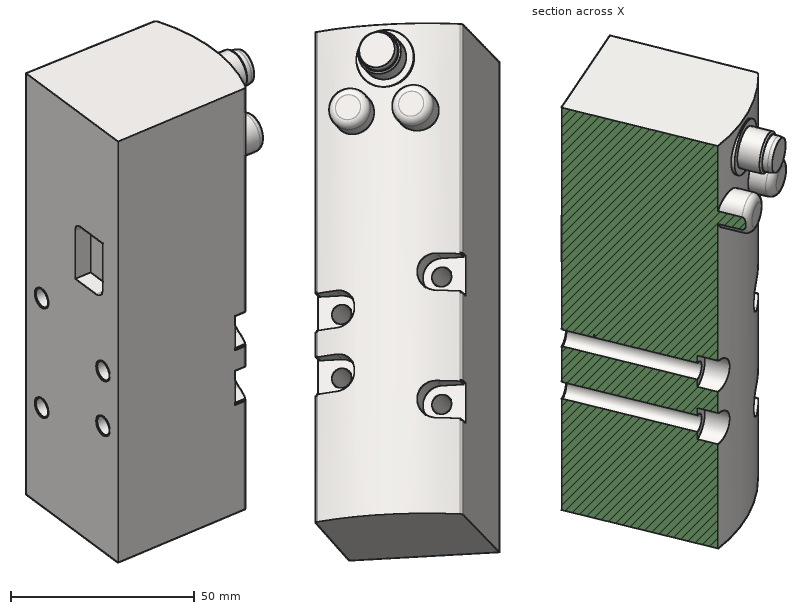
import cadquery as cq

height = 137.8
front_width = 42.0
rear_width = 41.2
shoulder_depth = 43.8
crown_depth = 48.1
crown_corner_radius = 1.1

hole_diameter = 5.5
hole_mouth_diameter = 6.0
hole_mouth_depth = 0.3
hole_rows_spacing = 28.0
hole_offset = hole_rows_spacing / 2
recess_width = 10.5
recess_floor = 40.1
recess_lip_width = 11.2
recess_lip_depth = 0.5
side_taper = (front_width - rear_width) / 2 / shoulder_depth
recess_side_half_width = front_width / 2 - side_taper * recess_floor
holes_mid_height = 50.0
left_hole_spacing = 35.8
right_hole_spacing = 17.9

pocket_left = 1.5
pocket_right = 14.0
pocket_bottom = 82.5
pocket_top = 100.7
pocket_depth = 5.2
pocket_top_radius = 2.2
pocket_bottom_radius = 3.2

connector_height = 128.2
flange_diameter = 16.0
flange_end = 48.5
barrel_diameter = 12.0
barrel_end = 55.5
barrel_chamfer = 0.5
tip_diameter = 10.5
tip_end = 58.3
tip_taper_length = 1.2
tip_taper_inset = 0.3

cap_diameter = 11.5
cap_offset = 8.8
cap_height = 113.3
cap_end = 55.3
cap_edge_radius = 2.2

stud_root = 41.3


def rod(x, z, diameter, start, end):
    """Cylinder along +Y from start to end."""
    base = cq.Vector(x, start, z)
    direction = cq.Vector(0, 1, 0)
    return cq.Workplane(cq.Solid.makeCylinder(diameter / 2, end - start, base, direction))


def make_body():
    front_half = front_width / 2
    rear_half = rear_width / 2
    body = (
        cq.Workplane("XY")
        .moveTo(-front_half, 0)
        .lineTo(front_half, 0)
        .lineTo(rear_half, shoulder_depth)
        .threePointArc((0, crown_depth), (-rear_half, shoulder_depth))
        .close()
        .extrude(height)
    )
    return body.edges("|Z").edges(">Y").fillet(crown_corner_radius)


def make_pocket():
    pocket_width = pocket_right - pocket_left
    pocket_height = pocket_top - pocket_bottom
    pocket = cq.Workplane("XY").box(pocket_width, pocket_depth, pocket_height, centered=False)
    pocket = pocket.edges("|Y and <X and >Z").fillet(pocket_top_radius)
    pocket = pocket.edges("|Y and >X and <Z").fillet(pocket_bottom_radius)
    return pocket.translate((pocket_left, 0, pocket_bottom))


def side_opening(side, z, inner_x, width):
    """Block that opens a recess from inner_x out through the side face."""
    length = front_width / 2 - inner_x
    depth = crown_depth - recess_floor
    block = cq.Workplane("XY").box(length, depth, width)
    return block.translate((side * (inner_x + length / 2), recess_floor + depth / 2, z))


def make_screw_cut(side, z):
    """Through hole and open recess; side is -1 for left and 1 for right."""
    x = side * hole_offset
    hole = rod(x, z, hole_diameter, 0, crown_depth)
    mouth = rod(x, z, hole_mouth_diameter, 0, hole_mouth_depth)
    round_end = rod(x, z, recess_width, recess_floor, crown_depth)
    opening = side_opening(side, z, hole_offset, recess_width)
    lip_start = recess_side_half_width - recess_lip_depth
    lip = side_opening(side, z, lip_start, recess_lip_width)
    return hole.union(mouth).union(round_end).union(opening).union(lip)


def make_connector():
    flange = rod(0, connector_height, flange_diameter, stud_root, flange_end)
    barrel = rod(0, connector_height, barrel_diameter, stud_root, barrel_end)
    barrel = barrel.faces(">Y").chamfer(barrel_chamfer)
    tip = rod(0, connector_height, tip_diameter, stud_root, tip_end)
    tip = tip.faces(">Y").chamfer(tip_taper_length, tip_taper_inset)
    return flange.union(barrel).union(tip)


def make_cap(x):
    cap = rod(x, cap_height, cap_diameter, stud_root, cap_end)
    return cap.faces(">Y").edges().fillet(cap_edge_radius)


result = make_body().cut(make_pocket())
for side, spacing in ((-1, left_hole_spacing), (1, right_hole_spacing)):
    for z in (holes_mid_height - spacing / 2, holes_mid_height + spacing / 2):
        result = result.cut(make_screw_cut(side, z))
result = result.union(make_connector())
for x in (-cap_offset, cap_offset):
    result = result.union(make_cap(x))